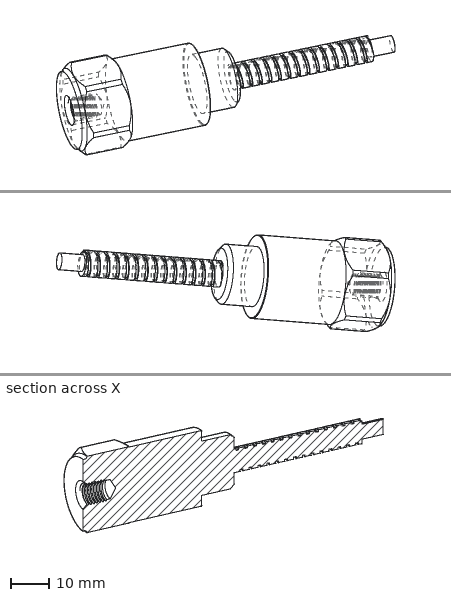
import cadquery as cq
import math


hex_flats = 22.3
hex_corners = 24.9
hex_top = 13.8

body_radius = 22.1 / 2
body_top = 35.6
body_edge_chamfer = 0.2
face_radius = 20.9 / 2
face_rim = 0.5
rim_fillet = 0.6
neck_radius = 15.9 / 2
neck_top = 45.25
neck_chamfer = 1.2

thread_minor_radius = 5.5 / 2
thread_major_radius = 6.4 / 2
thread_pitch = 0.9
thread_start = 0.4
thread_mouth_radius = 8.0 / 2
hole_depth = 8.1
drill_point_angle = 118.0
thread_half_angle = 30.0
thread_overlap = 0.1

core_radius = 4.5 / 2
core_top = 89.8
armour_radius = 7.0 / 2
armour_top = 83.4
groove_turns = 14.4
groove_pitch = (armour_top - neck_top) / groove_turns
groove_width = 0.7
groove_depth = 0.5
groove_offset = 0.2
groove_overlap = 0.3


def cylinder(radius, bottom, top):
    return cq.Workplane("XY").workplane(offset=bottom).circle(radius).extrude(top - bottom)


def revolve_profile(points):
    """Turn an outline of (radius, height) points about the Z axis."""
    return cq.Workplane("XZ").polyline(points).close().revolve(360, (0, 0), (0, 1))


def helical_cutter(profile, pitch, radius, bottom, height):
    """Sweep an outline of (radius, height) points, centred on height 0, up a right-hand helix."""
    helix = cq.Wire.makeHelix(pitch, height, radius)
    cutter = cq.Workplane("XZ").polyline(profile).close().sweep(cq.Workplane(obj=helix), isFrenet=True)
    return cutter.translate((0, 0, bottom))


def make_hexagon():
    """Hexagon with rounded corners, 45 degree end bevels and a filleted round rim below it."""
    corner_radius = hex_corners / 2
    hex_bottom = face_rim + rim_fillet
    bottom_radius = face_radius + rim_fillet
    bevel_bottom = hex_bottom + corner_radius - bottom_radius
    bevel_top = hex_top - (corner_radius - body_radius)
    fillet_middle = rim_fillet * math.sqrt(0.5)
    envelope = (
        cq.Workplane("XZ")
        .lineTo(face_radius, 0)
        .lineTo(face_radius, face_rim)
        .threePointArc(
            (bottom_radius - fillet_middle, face_rim + fillet_middle),
            (bottom_radius, hex_bottom),
        )
        .lineTo(corner_radius, bevel_bottom)
        .lineTo(corner_radius, bevel_top)
        .lineTo(body_radius, hex_top)
        .lineTo(0, hex_top)
        .close()
        .revolve(360, (0, 0), (0, 1))
    )
    sharp_corners = hex_flats / math.cos(math.pi / 6)
    prism = cq.Workplane("XY").polygon(6, sharp_corners).extrude(hex_top)
    return prism.intersect(envelope)


def make_housing():
    body = cylinder(body_radius, hex_top, body_top).faces(">Z").chamfer(body_edge_chamfer)
    neck = cylinder(neck_radius, body_top, neck_top).faces(">Z").chamfer(neck_chamfer)
    return make_hexagon().union(body).union(neck)


def make_hole():
    """Drilled hole with a conical point and a 45 degree countersink down to the thread."""
    point_depth = thread_minor_radius / math.tan(math.radians(drill_point_angle / 2))
    countersink_depth = thread_mouth_radius - thread_minor_radius
    return revolve_profile([
        (0, 0),
        (thread_mouth_radius, 0),
        (thread_minor_radius, countersink_depth),
        (thread_minor_radius, hole_depth),
        (0, hole_depth + point_depth),
    ])


def make_thread():
    """V-shaped helical groove cut outwards from the wall of the drilled hole."""
    inner = thread_minor_radius - thread_overlap
    half_width = (thread_major_radius - inner) * math.tan(math.radians(thread_half_angle))
    profile = [(inner, -half_width), (thread_major_radius, 0), (inner, half_width)]
    height = hole_depth - thread_pitch - thread_start
    return helical_cutter(profile, thread_pitch, thread_minor_radius, thread_start, height)


def make_armour():
    """Cable sleeve with a square helical groove that runs out at both ends."""
    blank_bottom = neck_top - 2 * groove_pitch
    blank_top = armour_top + 2 * groove_pitch
    blank = cylinder(armour_radius, blank_bottom, blank_top)

    inner = armour_radius - groove_depth
    outer = armour_radius + groove_overlap
    half_width = groove_width / 2
    profile = [(inner, -half_width), (outer, -half_width), (outer, half_width), (inner, half_width)]
    groove_bottom = neck_top + groove_offset - groove_pitch
    groove_height = armour_top - neck_top + 2 * groove_pitch
    groove = helical_cutter(profile, groove_pitch, armour_radius, groove_bottom, groove_height)
    groove = groove.rotate((0, 0, 0), (0, 0, 1), 180)

    return blank.cut(groove).intersect(cylinder(2 * armour_radius, neck_top, armour_top))


housing = make_housing().cut(make_hole().union(make_thread()))
cable_core = cylinder(core_radius, neck_top, core_top)
upright = housing.union(make_armour()).union(cable_core)

result = upright.rotate((0, 0, 0), (1, 0, 0), -90)